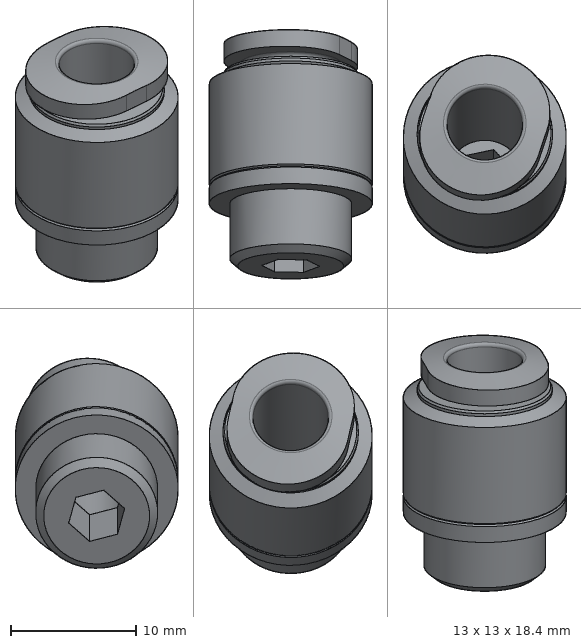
import cadquery as cq
import math

height = 18.4
body_radius = 13.0 / 2

stem_radius = 9.73 / 2
stem_chamfer_width = 0.65
stem_chamfer_height = 0.57
stem_top = 5.12

flange_top = 6.48
groove_width = 0.25
groove_depth = 0.13
body_bottom = flange_top + groove_width
body_shoulder = 15.0

collar_radius = 10.8 / 2
collar_bottom = 15.5
collar_top = 15.92
collar_chamfer_width = 0.13
collar_chamfer_height = 0.18

neck_radius = 7.4 / 2
neck_fillet = 0.37
cap_bottom = 16.6
cap_width = 9.73
cap_length = 11.85
cap_cone_drop = 0.45

bore_radius = 6.0 / 2
bore_mouth_radius = 0.3
bore_floor = stem_top
hex_across_flats = 4.01


def quarter_arc_point(center_r, center_z, radius, r_sign, z_sign):
    """Middle point of a quarter arc lying in the given quadrant of its circle."""
    offset = radius * math.sqrt(0.5)
    return center_r + r_sign * offset, center_z + z_sign * offset


def make_body():
    """Turned stem, flange, body, collar and neck up to the underside of the cap."""
    fillet_middle = quarter_arc_point(
        neck_radius + neck_fillet, cap_bottom - neck_fillet, neck_fillet, -1, 1
    )
    return (
        cq.Workplane("XZ")
        .moveTo(0, 0)
        .lineTo(stem_radius - stem_chamfer_width, 0)
        .lineTo(stem_radius, stem_chamfer_height)
        .lineTo(stem_radius, stem_top)
        .lineTo(body_radius, stem_top)
        .lineTo(body_radius, flange_top)
        .lineTo(body_radius - groove_depth, flange_top + groove_width / 2)
        .lineTo(body_radius, body_bottom)
        .lineTo(body_radius, body_shoulder)
        .lineTo(collar_radius, collar_bottom)
        .lineTo(collar_radius, collar_top - collar_chamfer_height)
        .lineTo(collar_radius - collar_chamfer_width, collar_top)
        .lineTo(neck_radius, collar_top)
        .lineTo(neck_radius, cap_bottom - neck_fillet)
        .threePointArc(fillet_middle, (neck_radius + neck_fillet, cap_bottom))
        .lineTo(0, cap_bottom)
        .close()
        .revolve(360, (0, 0, 0), (0, 1, 0))
    )


def make_cap():
    """Obround prism trimmed by a cone that falls away from the bore mouth."""
    obround = (
        cq.Workplane("XY", origin=(0, 0, cap_bottom))
        .slot2D(cap_length, cap_width, 90)
        .extrude(height - cap_bottom)
    )
    cone = (
        cq.Workplane("XZ")
        .moveTo(0, cap_bottom)
        .lineTo(cap_length / 2, cap_bottom)
        .lineTo(cap_length / 2, height - cap_cone_drop)
        .lineTo(bore_radius + bore_mouth_radius, height)
        .lineTo(0, height)
        .close()
        .revolve(360, (0, 0, 0), (0, 1, 0))
    )
    return obround.intersect(cone)


def make_bore():
    """Tube bore, widening through a rounded mouth at the top."""
    mouth_bottom = height - bore_mouth_radius
    mouth_edge = bore_radius + bore_mouth_radius
    mouth_middle = quarter_arc_point(mouth_edge, mouth_bottom, bore_mouth_radius, -1, 1)
    return (
        cq.Workplane("XZ")
        .moveTo(0, bore_floor)
        .lineTo(bore_radius, bore_floor)
        .lineTo(bore_radius, mouth_bottom)
        .threePointArc(mouth_middle, (mouth_edge, height))
        .lineTo(0, height)
        .close()
        .revolve(360, (0, 0, 0), (0, 1, 0))
    )


def make_hex_passage():
    """Hexagonal passage with two of its corners on the Y axis."""
    across_corners = hex_across_flats / math.cos(math.radians(30))
    return (
        cq.Workplane("XY")
        .transformed(rotate=(0, 0, 90))
        .polygon(6, across_corners)
        .extrude(height)
    )


result = make_body().union(make_cap()).cut(make_bore()).cut(make_hex_passage())